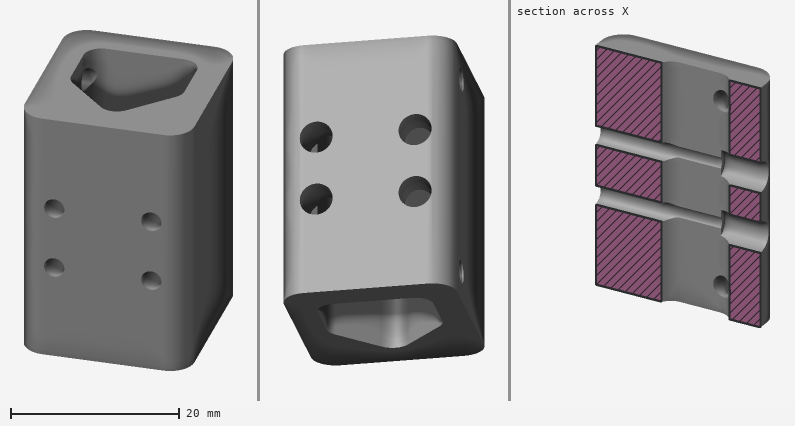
import cadquery as cq

width = 21.0
depth = 22.65
height = 32.0
corner_radius = 3.0

passage_half_width = 7.0
passage_back_y = 7.35
passage_point_y = -8.22
passage_shoulder_y = passage_point_y + passage_half_width
passage_radius = 2.2

front_hole_diameter = 2.5
front_hole_spacing_x = 12.0
front_hole_spacing_z = 8.0

counterbore_diameter = 4.0
counterbore_depth = 6.0

side_hole_diameter = 2.8
side_hole_y = 5.65
side_hole_spacing_z = 24.8


def make_block():
    block = cq.Workplane("XY").box(width, depth, height)
    return block.edges("|Z").fillet(corner_radius)


def make_passage():
    outline = [
        (-passage_half_width, passage_back_y),
        (passage_half_width, passage_back_y),
        (passage_half_width, passage_shoulder_y),
        (0, passage_point_y),
        (-passage_half_width, passage_shoulder_y),
    ]
    passage = cq.Workplane("XY").polyline(outline).close().extrude(height / 2, both=True)
    return passage.edges("|Z").fillet(passage_radius)


def make_front_holes():
    holes = (
        cq.Workplane("XZ")
        .rarray(front_hole_spacing_x, front_hole_spacing_z, 2, 2)
        .circle(front_hole_diameter / 2)
        .extrude(depth / 2, both=True)
    )
    counterbores = (
        cq.Workplane("XZ", origin=(0, depth / 2, 0))
        .rarray(front_hole_spacing_x, front_hole_spacing_z, 2, 2)
        .circle(counterbore_diameter / 2)
        .extrude(counterbore_depth)
    )
    return holes.union(counterbores)


def make_side_holes():
    return (
        cq.Workplane("YZ", origin=(-width / 2, 0, 0))
        .pushPoints([(side_hole_y, z) for z in (-side_hole_spacing_z / 2, side_hole_spacing_z / 2)])
        .circle(side_hole_diameter / 2)
        .extrude(width / 2)
    )


result = make_block().cut(make_passage()).cut(make_front_holes()).cut(make_side_holes())